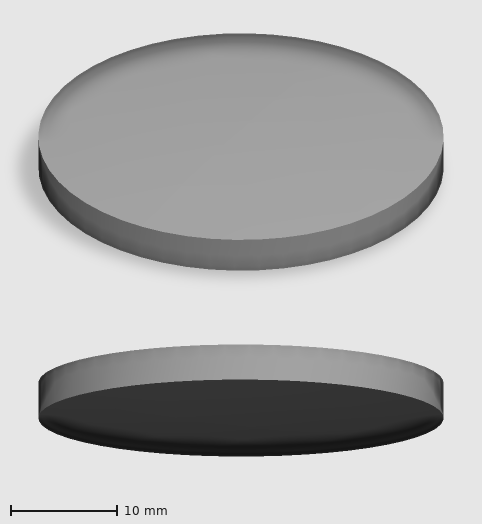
import cadquery as cq

diameter = 38.1
center_thickness = 4.98
edge_thickness = 3.36

radius = diameter / 2

sagitta = (center_thickness - edge_thickness) / 2
curvature_radius = (radius**2 + sagitta**2) / (2 * sagitta)
sphere_offset = curvature_radius - center_thickness / 2

blank_thickness = 2 * center_thickness

ORIGIN = (0, 0, 0)
X_AXIS = (1, 0, 0)
Z_AXIS = (0, 0, 1)


def blank():
    """Plain disc that gives the lens its cylindrical rim, with the rim seam at -X."""
    disc = cq.Workplane("XY").cylinder(blank_thickness, radius)
    return disc.rotate(ORIGIN, Z_AXIS, 180)


def face_ball(side):
    """Ball whose surface forms the upper (side=1) or lower (side=-1) lens face.

    Its poles lie along Y and its seam crosses the middle of the lens face,
    splitting the face into two halves along the plane X = 0.
    """
    ball = cq.Workplane("XY").sphere(curvature_radius)
    seam_toward_y = ball.rotate(ORIGIN, Z_AXIS, side * 90)
    seam_toward_face = seam_toward_y.rotate(ORIGIN, X_AXIS, 90)
    return seam_toward_face.translate((0, 0, -side * sphere_offset))


def lens():
    """Disc trimmed by both balls; left uncleaned so the face halves stay separate."""
    trimmed = blank()
    for side in (1, -1):
        trimmed = trimmed.intersect(face_ball(side), clean=False)
    return trimmed


result = lens()